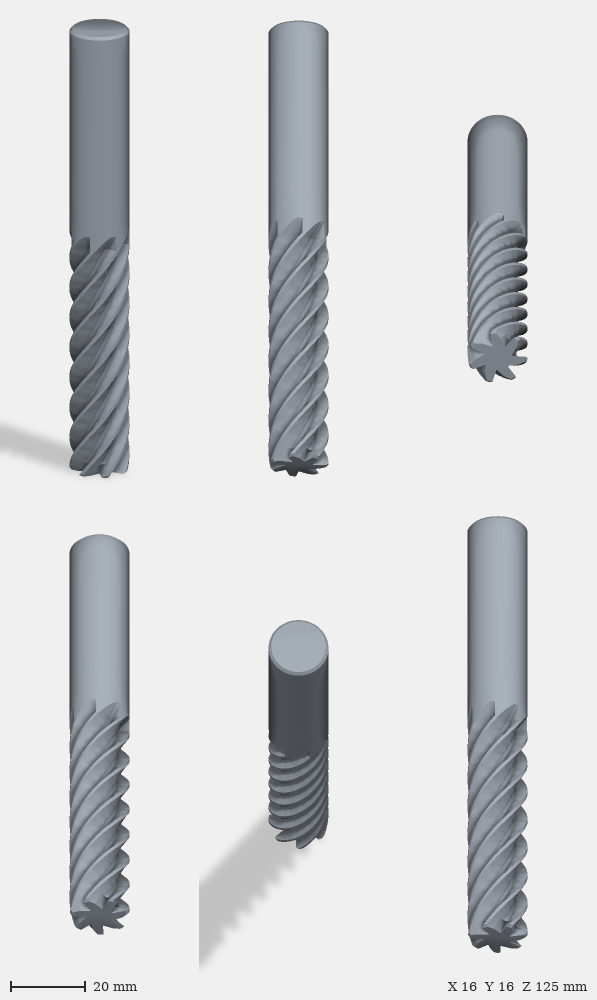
import cadquery as cq
import math


tool_diameter = 16.0
tool_length = 125.0
cut_length = 64.0
grip_length = 48.0
top_chamfer = 0.8
corner_chamfer = 0.6

tooth_count = 7
helix_lead = 59.5
edge_azimuth = 254.5
margin_angle = 8.0
back_angle = 34.5
floor_angle = 47.0
core_radius = 5.1

gash_height = 3.1
gash_root_radius = 3.6
gash_root_angle = 45.0
gash_back_radius = 6.4
gash_back_angle = 20.0
gash_face_radius = 7.0
gash_face_angle = 50.4

runout_height = 4.2
runout_clearance = 2.5

tool_radius = tool_diameter / 2
tooth_pitch = 360.0 / tooth_count
neck_length = tool_length - cut_length - grip_length


def polar(radius, azimuth):
    """Point in the XY plane at a radius and an azimuth in degrees."""
    angle = math.radians(azimuth)
    return radius * math.cos(angle), radius * math.sin(angle)


def helix_twist(height):
    """Degrees that the teeth turn over a height."""
    return 360.0 * height / helix_lead


def add_flute(outline, edge):
    """Continue an outline down the tooth back, along the flute floor and up the next rake face."""
    outline = outline.lineTo(*polar(core_radius, edge + back_angle))
    outline = outline.threePointArc(
        polar(core_radius, edge + (back_angle + floor_angle) / 2),
        polar(core_radius, edge + floor_angle),
    )
    return outline.lineTo(*polar(tool_radius, edge + tooth_pitch))


def make_teeth(bottom_edge):
    """Toothed section twisted over the cutting length."""
    outline = cq.Workplane("XY").moveTo(*polar(tool_radius, bottom_edge))
    for i in range(tooth_count):
        edge = bottom_edge + i * tooth_pitch
        outline = outline.threePointArc(
            polar(tool_radius, edge + margin_angle / 2),
            polar(tool_radius, edge + margin_angle),
        )
        outline = add_flute(outline, edge)
    return outline.close().twistExtrude(cut_length, helix_twist(cut_length))


def make_gash(edge):
    """Twisted wedge that cuts below the flute floor."""
    return (
        cq.Workplane("XY")
        .moveTo(*polar(gash_back_radius, edge + gash_back_angle))
        .lineTo(*polar(gash_root_radius, edge + gash_root_angle))
        .lineTo(*polar(gash_face_radius, edge + gash_face_angle))
        .close()
        .twistExtrude(gash_height, helix_twist(gash_height))
    )


def make_corner_ring():
    """Ring whose sloping face chamfers the bottom corners of the teeth."""
    return (
        cq.Workplane("XZ")
        .moveTo(tool_radius - corner_chamfer, 0)
        .lineTo(tool_radius + corner_chamfer, 0)
        .lineTo(tool_radius + corner_chamfer, 2 * corner_chamfer)
        .close()
        .revolve()
    )


def make_cutter():
    bottom_edge = edge_azimuth - helix_twist(cut_length)
    body = make_teeth(bottom_edge)
    for i in range(tooth_count):
        body = body.cut(make_gash(bottom_edge + i * tooth_pitch))
    return body.cut(make_corner_ring())


def make_runout(edge):
    """Flute section pushed upwards and outwards along its rake face."""
    outer_radius = tool_radius + runout_clearance
    outline = cq.Workplane("XY", origin=(0, 0, cut_length))
    outline = outline.moveTo(*polar(tool_radius, edge + margin_angle))
    outline = add_flute(outline, edge)
    outline = outline.lineTo(*polar(outer_radius, edge + tooth_pitch))
    section = outline.lineTo(*polar(outer_radius, edge + margin_angle)).close().val()
    rake_root = polar(core_radius, edge + floor_angle)
    rake_tip = polar(tool_radius, edge + tooth_pitch)
    climb = cq.Vector(rake_tip[0] - rake_root[0], rake_tip[1] - rake_root[1], runout_height)
    return cq.Workplane(cq.Solid.extrudeLinear(section, [], climb))


def make_shank():
    neck = cq.Workplane("XY", origin=(0, 0, cut_length)).circle(tool_radius).extrude(neck_length)
    for i in range(tooth_count):
        neck = neck.cut(make_runout(edge_azimuth + i * tooth_pitch))
    grip = (
        cq.Workplane("XY", origin=(0, 0, cut_length + neck_length))
        .circle(tool_radius)
        .extrude(grip_length)
        .faces(">Z")
        .chamfer(top_chamfer)
    )
    return neck.union(grip, clean=False)


cutter = make_cutter()
shank = make_shank()
result = cq.Compound.makeCompound([cutter.solids().val(), shank.solids().val()])